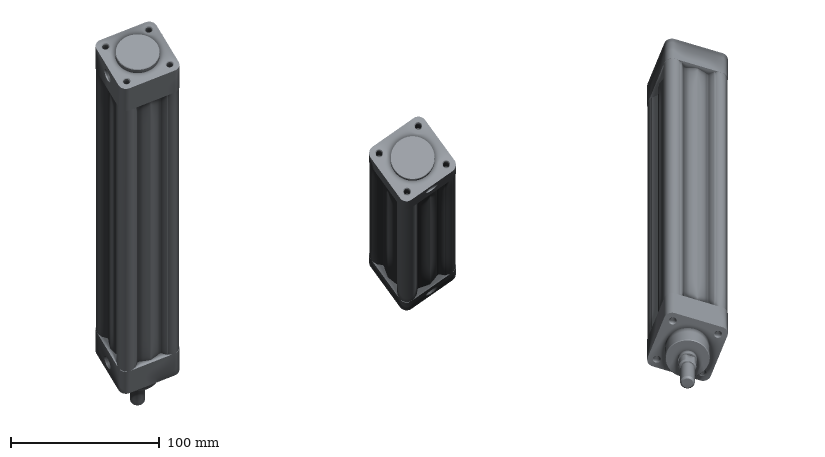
import cadquery as cq
import math

TOTAL_LENGTH = 394.0
ROD_LENGTH = 30.7
COLLAR_HEIGHT = 15.0
HEAD_HEIGHT = 25.0
BOSS_HEIGHT = 4.0

LOWER_HEAD_Z = ROD_LENGTH + COLLAR_HEIGHT
TUBE_Z = LOWER_HEAD_Z + HEAD_HEIGHT
UPPER_HEAD_TOP_Z = TOTAL_LENGTH - BOSS_HEIGHT
UPPER_HEAD_Z = UPPER_HEAD_TOP_Z - HEAD_HEIGHT
TUBE_LENGTH = UPPER_HEAD_Z - TUBE_Z

WIDTH = 45.0
HALF_WIDTH = WIDTH / 2
HEAD_CORNER_RADIUS = 5.5
COLLAR_DIAMETER = 30.0
COLLAR_CHAMFER = 0.5

SCREW_SPACING = 32.5
SCREW_DIAMETER = 4.5
SCREW_MOUTH_DIAMETER = 5.5
SCREW_DEPTH = 15.8
SCREW_CHAMFER = (SCREW_MOUTH_DIAMETER - SCREW_DIAMETER) / 2
PORT_DIAMETER = 9.5
PORT_DEPTH = 10.0
UPPER_PORT_DROP = 10.0
LOWER_PORT_RISE = 10.5

LOBE_CENTER = SCREW_SPACING / 2
LOBE_RADIUS = HALF_WIDTH - LOBE_CENTER
LAND_HEIGHT = 21.3
RECESS_HALF_WIDTH = 12.0
FLOOR_HALF_WIDTH = 8.5
FOOT_HALF_WIDTH = 7.5
FLOOR_HEIGHT = LAND_HEIGHT - (RECESS_HALF_WIDTH - FLOOR_HALF_WIDTH)
RIDGE_HALF_WIDTH = 5.5
RIDGE_SLOPE = math.radians(15)
FOOT_SLOPE = math.radians(20)
RIDGE_FOOT_HEIGHT = FLOOR_HEIGHT + (FOOT_HALF_WIDTH - RIDGE_HALF_WIDTH) * math.tan(FOOT_SLOPE)
RIDGE_HEIGHT = RIDGE_FOOT_HEIGHT + RIDGE_HALF_WIDTH * math.tan(RIDGE_SLOPE)

ROD_DIAMETER = 13.0
SHANK_DIAMETER = 12.0
FLAT_DISTANCE = 10.0
SHANK_LOW_Z = 19.7
SHANK_HIGH_Z = 27.0
SHANK_CHAMFER = 1.0
NECK_DIAMETER = 8.5
THREAD_DIAMETER = 10.0
THREAD_LENGTH = 17.7
THREAD_CHAMFER = 1.0


def cylinder(diameter, bottom, height):
    """Upright cylinder on the Z axis."""
    return cq.Workplane("XY").workplane(offset=bottom).circle(diameter / 2).extrude(height)


def make_head(bottom, port_z):
    """Square end cap with rounded corners and an air port in its -Y side."""
    block = (
        cq.Workplane("XY")
        .workplane(offset=bottom)
        .rect(WIDTH, WIDTH)
        .extrude(HEAD_HEIGHT)
        .edges("|Z")
        .fillet(HEAD_CORNER_RADIUS)
    )
    port = (
        cq.Workplane("XZ", origin=(0, -HALF_WIDTH, port_z))
        .circle(PORT_DIAMETER / 2)
        .extrude(-PORT_DEPTH)
    )
    return block.cut(port)


def screw_holes(mouth_z, inward):
    """Cutters for the corner screw holes, running inward (+1 up, -1 down) from a chamfered mouth."""
    pattern = (
        cq.Workplane("XY")
        .workplane(offset=mouth_z)
        .rect(SCREW_SPACING, SCREW_SPACING, forConstruction=True)
        .vertices()
    )
    bores = pattern.circle(SCREW_DIAMETER / 2).extrude(inward * SCREW_DEPTH)
    hole_axis = cq.Vector(0, 0, inward)
    for corner in pattern.vals():
        mouth = cq.Solid.makeCone(
            SCREW_MOUTH_DIAMETER / 2,
            SCREW_DIAMETER / 2,
            SCREW_CHAMFER,
            pnt=corner.Center(),
            dir=hole_axis,
        )
        bores = bores.union(cq.Workplane(mouth))
    return bores


def make_lower_head():
    """Rod-side head with its guide collar."""
    head = make_head(LOWER_HEAD_Z, LOWER_HEAD_Z + LOWER_PORT_RISE)
    collar = cylinder(COLLAR_DIAMETER, ROD_LENGTH, COLLAR_HEIGHT).faces("<Z").chamfer(COLLAR_CHAMFER)
    return head.union(collar).cut(screw_holes(LOWER_HEAD_Z, 1))


def make_upper_head():
    """Closed head with its low centring boss."""
    head = make_head(UPPER_HEAD_Z, UPPER_HEAD_TOP_Z - UPPER_PORT_DROP)
    boss = cylinder(COLLAR_DIAMETER, UPPER_HEAD_TOP_Z, BOSS_HEIGHT).faces(">Z").chamfer(COLLAR_CHAMFER)
    return head.union(boss).cut(screw_holes(UPPER_HEAD_TOP_Z, -1))


def make_tube():
    """Profiled tube: one side's outline is repeated by quarter turns about Z."""
    lobe_start = LOBE_CENTER - math.sqrt(LOBE_RADIUS**2 - (LAND_HEIGHT - LOBE_CENTER) ** 2)
    lobe_middle = LOBE_CENTER + LOBE_RADIUS / math.sqrt(2)
    half_side = [
        (RIDGE_HALF_WIDTH, RIDGE_FOOT_HEIGHT),
        (FOOT_HALF_WIDTH, FLOOR_HEIGHT),
        (FLOOR_HALF_WIDTH, FLOOR_HEIGHT),
        (RECESS_HALF_WIDTH, LAND_HEIGHT),
        (lobe_start, LAND_HEIGHT),
    ]

    def turned(point, quarter):
        x, y = point
        for _ in range(quarter):
            x, y = y, -x
        return x, y

    outline = cq.Workplane("XY").workplane(offset=TUBE_Z).moveTo(0, RIDGE_HEIGHT)
    for quarter in range(4):
        for point in half_side:
            outline = outline.lineTo(*turned(point, quarter))
        lobe_end = turned((LAND_HEIGHT, lobe_start), quarter)
        outline = outline.threePointArc(turned((lobe_middle, lobe_middle), quarter), lobe_end)
        for x, y in reversed(half_side[:-1]):
            outline = outline.lineTo(*turned((y, x), quarter))
        if quarter < 3:
            outline = outline.lineTo(*turned((RIDGE_HEIGHT, 0), quarter))
    return outline.close().extrude(TUBE_LENGTH)


def make_rod():
    """Rod end with a wrench-flat shank, a neck and a chamfered thread."""
    rod = cylinder(ROD_DIAMETER, SHANK_HIGH_Z, ROD_LENGTH - SHANK_HIGH_Z)
    shank_height = SHANK_HIGH_Z - SHANK_LOW_Z
    across_flats = (
        cq.Workplane("XY")
        .workplane(offset=SHANK_LOW_Z)
        .rect(SHANK_DIAMETER, FLAT_DISTANCE)
        .extrude(shank_height)
    )
    shank = (
        cylinder(SHANK_DIAMETER, SHANK_LOW_Z, shank_height)
        .faces("<Z")
        .chamfer(SHANK_CHAMFER)
        .intersect(across_flats)
    )
    neck = cylinder(NECK_DIAMETER, THREAD_LENGTH, SHANK_LOW_Z - THREAD_LENGTH)
    thread = cylinder(THREAD_DIAMETER, 0, THREAD_LENGTH).faces("<Z").chamfer(THREAD_CHAMFER)
    return rod.union(shank).union(neck).union(thread)


lower_head = make_lower_head()
upper_head = make_upper_head()
tube = make_tube()
rod = make_rod()

result = cq.Compound.makeCompound([lower_head.val(), upper_head.val(), tube.val(), rod.val()])